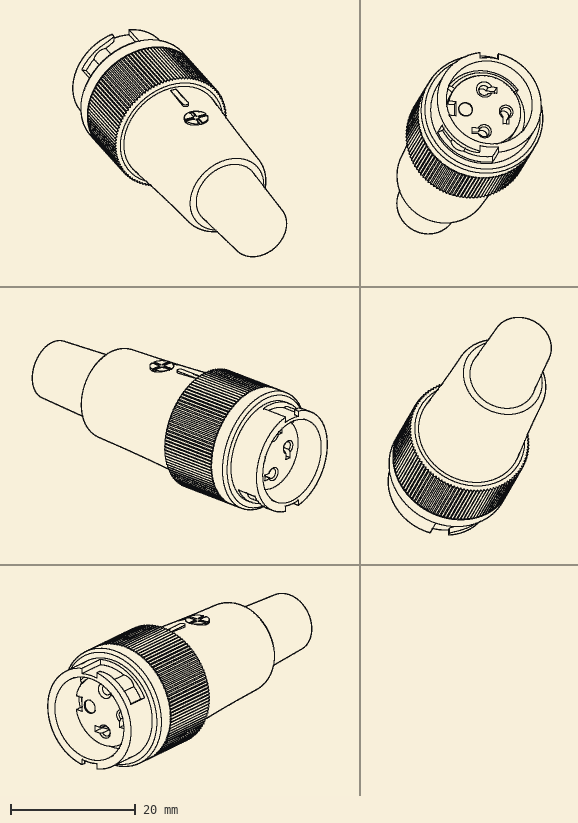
import cadquery as cq
import math

LENGTH = 52.0

BARREL_R = 17.0 / 2
BORE_R = 7.0
BORE_DEPTH = 6.25

COLLAR_START = 5.5
COLLAR_R = 19.9 / 2
COLLAR_CHAMFER = 0.5
KNURL_START = 8.5
KNURL_TEETH = 110
KNURL_DEPTH = 0.25
COLLAR_END = 19.0
COLLAR_END_ROUND_X = 0.45
COLLAR_END_ROUND_R = 0.85

BOOT_TAPER_START = 19.6
BOOT_SHOULDER_X = 38.0
BOOT_SHOULDER_R = 7.55
BOOT_WAIST_SAG = 0.1
TAIL_START = 39.5
SHOULDER_EDGE_R = 6.55
SHOULDER_BULGE = 0.15
TAIL_ROOT_R = 5.45
TAIL_TIP_R = 4.9
TAIL_TIP_ROUND = 0.6

TRACK_FLOOR_R = 7.6
TRACK_END_X = 4.8
TRACK_HALF_WIDTH = 1.5
TRACK_SWEEP = 62.0
LIP_NOSE_X = 0.8
LIP_X = 1.3
LIP_RAMP_Y = -3.3
LIP_RAMP_BULGE = 0.1
DETENT_ANGLE = 35.0
DETENT_HALF_CHORD = 1.275
DETENT_HEIGHT = 0.45

INSERT_R = 5.95
INSERT_FACE_X = 4.0
RIDGE_FACE_X = 4.35
RIDGE_CHAMFER = 0.5
RIDGE_HALF_ANGLE = 54.0
KEYWAY_FLOOR_Y = 4.65
KEYWAY_WIDTH = 2.4
KEYWAY_DEPTH = 1.55
CONTACT_CIRCLE_R = 3.55
CONTACT_R = 0.85
CONTACT_MOUTH_R = 2.25 / 2
TOP_CONTACT_MOUTH_R = 1.3
CONTACT_DEPTH = 2.1
CONTACT_SLOT_WIDTH = 1.0
CONTACT_SLOT_REACH = 2.05
DIMPLE_Y = 3.05
DIMPLE_R = 2.25 / 2
DIMPLE_DEPTH = 0.25

MARKER_ROOT_Z = 7.3
RIB_WIDTH = 1.0
RIB_END_X = 24.6
DISC_X = 28.1
DISC_R = 1.9
DISC_TOP_Z = 8.05
CROSS_WIDTH = 0.5
CROSS_DEPTH = 0.2
HUB_R = 1.0 / 2

CUT_OVERRUN = 0.5


def revolve_profile(profile):
    """Revolve a closed XY profile about the X axis."""
    return profile.close().revolve(360, (0, 0, 0), (1, 0, 0))


def tube(x_start, x_end, outer_r, inner_r):
    """Ring about the X axis."""
    ring = cq.Workplane("YZ").workplane(offset=x_start).circle(outer_r).circle(inner_r)
    return ring.extrude(x_end - x_start)


def disc(x_start, x_end, radius, y=0.0, z=0.0):
    """Cylinder running along X, centred at (y, z)."""
    return cq.Workplane("YZ").workplane(offset=x_start).center(y, z).circle(radius).extrude(x_end - x_start)


def from_top(radius, degrees):
    """YZ point at an angle from +Z, positive towards -Y."""
    angle = math.radians(degrees)
    return (-radius * math.sin(angle), radius * math.cos(angle))


def sector(x_start, x_end, start_deg, end_deg):
    """Wedge about the X axis, large enough to reach outside the barrel."""
    reach = 2 * BARREL_R
    wedge = (
        cq.Workplane("YZ").workplane(offset=x_start).moveTo(0, 0)
        .lineTo(*from_top(reach, start_deg))
        .threePointArc(from_top(reach, (start_deg + end_deg) / 2), from_top(reach, end_deg))
    )
    return wedge.close().extrude(x_end - x_start)


def make_barrel():
    """Barrel whose solid rear part also fills the collar."""
    barrel = disc(0, COLLAR_END, BARREL_R)
    return barrel.cut(disc(0, BORE_DEPTH, BORE_R))


def make_bayonet_track():
    """L-shaped track: open at the mating face, then turning towards -Y behind a lip."""
    side = -2 * BARREL_R
    ramp_middle = ((LIP_NOSE_X + LIP_X) / 2 + LIP_RAMP_BULGE, (LIP_RAMP_Y - TRACK_HALF_WIDTH) / 2)
    plan = (
        cq.Workplane("XY").moveTo(0, TRACK_HALF_WIDTH)
        .lineTo(TRACK_END_X, TRACK_HALF_WIDTH)
        .lineTo(TRACK_END_X, side)
        .lineTo(LIP_X, side)
        .lineTo(LIP_X, LIP_RAMP_Y)
        .threePointArc(ramp_middle, (LIP_NOSE_X, -TRACK_HALF_WIDTH))
        .lineTo(0, -TRACK_HALF_WIDTH)
        .close().extrude(2 * BARREL_R)
    )
    rim = tube(0, TRACK_END_X, BARREL_R + CUT_OVERRUN, TRACK_FLOOR_R)
    track = plan.intersect(rim).intersect(sector(0, TRACK_END_X, -TRACK_SWEEP, TRACK_SWEEP))

    chord_r = math.sqrt(TRACK_FLOOR_R ** 2 - DETENT_HALF_CHORD ** 2)
    detent_r = (DETENT_HALF_CHORD ** 2 + DETENT_HEIGHT ** 2) / (2 * DETENT_HEIGHT)
    detent_y, detent_z = from_top(chord_r + DETENT_HEIGHT - detent_r, DETENT_ANGLE)
    return track.cut(disc(LIP_X, TRACK_END_X, detent_r, detent_y, detent_z))


def make_collar():
    """Sleeve with a smooth front band and a V-toothed knurl."""
    tooth_angle = 360 / KNURL_TEETH
    blank = revolve_profile(
        cq.Workplane("XY").moveTo(COLLAR_START, 0)
        .lineTo(COLLAR_START, COLLAR_R - COLLAR_CHAMFER)
        .lineTo(COLLAR_START + COLLAR_CHAMFER, COLLAR_R)
        .lineTo(COLLAR_END - COLLAR_END_ROUND_X, COLLAR_R)
        .lineTo(COLLAR_END, COLLAR_R - COLLAR_END_ROUND_R)
        .lineTo(COLLAR_END, 0)
    )
    teeth = []
    for i in range(KNURL_TEETH):
        teeth.append(from_top(COLLAR_R, i * tooth_angle))
        teeth.append(from_top(COLLAR_R - KNURL_DEPTH, (i + 0.5) * tooth_angle))
    knurl = (
        cq.Workplane("YZ").workplane(offset=KNURL_START)
        .polyline(teeth).close().extrude(COLLAR_END - KNURL_START)
    )
    smooth_band = disc(COLLAR_START, KNURL_START, COLLAR_R)
    sleeve_hole = disc(COLLAR_START, COLLAR_END, BARREL_R)
    return blank.intersect(smooth_band.union(knurl)).cut(sleeve_hole)


def make_boot():
    flank_middle = (
        (BOOT_TAPER_START + BOOT_SHOULDER_X) / 2,
        (BARREL_R + BOOT_SHOULDER_R) / 2 - BOOT_WAIST_SAG,
    )
    shoulder_middle = (
        (BOOT_SHOULDER_X + TAIL_START) / 2 + SHOULDER_BULGE,
        (BOOT_SHOULDER_R + SHOULDER_EDGE_R) / 2 + SHOULDER_BULGE,
    )
    tip_inset = TAIL_TIP_ROUND * (1 - math.sqrt(0.5))
    tip_middle = (LENGTH - tip_inset, TAIL_TIP_R - tip_inset)
    return revolve_profile(
        cq.Workplane("XY").moveTo(COLLAR_END, 0)
        .lineTo(COLLAR_END, BARREL_R)
        .lineTo(BOOT_TAPER_START, BARREL_R)
        .threePointArc(flank_middle, (BOOT_SHOULDER_X, BOOT_SHOULDER_R))
        .threePointArc(shoulder_middle, (TAIL_START, SHOULDER_EDGE_R))
        .lineTo(TAIL_START, TAIL_ROOT_R)
        .lineTo(LENGTH - TAIL_TIP_ROUND, TAIL_TIP_R)
        .threePointArc(tip_middle, (LENGTH, TAIL_TIP_R - TAIL_TIP_ROUND))
        .lineTo(LENGTH, 0)
    )


def make_rib():
    half = RIB_WIDTH / 2
    return (
        cq.Workplane("XY").workplane(offset=MARKER_ROOT_Z)
        .moveTo(BOOT_TAPER_START, half)
        .lineTo(RIB_END_X - half, half)
        .threePointArc((RIB_END_X, 0), (RIB_END_X - half, -half))
        .lineTo(BOOT_TAPER_START, -half)
        .close().extrude(BARREL_R - MARKER_ROOT_Z)
    )


def make_marker_disc():
    return (
        cq.Workplane("XY").workplane(offset=MARKER_ROOT_Z).center(DISC_X, 0)
        .circle(DISC_R).extrude(DISC_TOP_Z - MARKER_ROOT_Z)
    )


def make_marker_cross():
    """Cross of shallow grooves that leaves a round hub standing."""
    plane = cq.Workplane("XY").workplane(offset=DISC_TOP_Z - CROSS_DEPTH).center(DISC_X, 0)
    bars = plane.rect(2 * DISC_R, CROSS_WIDTH).extrude(CUT_OVERRUN)
    bars = bars.union(plane.rect(CROSS_WIDTH, 2 * DISC_R).extrude(CUT_OVERRUN))
    return bars.cut(plane.circle(HUB_R).extrude(CUT_OVERRUN))


def make_contact(mouth_r, turn):
    """Countersunk keyhole socket at the top of the contact circle, turned about X."""
    countersink = mouth_r - CONTACT_R
    cone = revolve_profile(
        cq.Workplane("XY").moveTo(INSERT_FACE_X, 0)
        .lineTo(INSERT_FACE_X, mouth_r)
        .lineTo(INSERT_FACE_X + countersink, CONTACT_R)
        .lineTo(INSERT_FACE_X + CONTACT_DEPTH, CONTACT_R)
        .lineTo(INSERT_FACE_X + CONTACT_DEPTH, 0)
    )
    slot = (
        cq.Workplane("YZ").workplane(offset=INSERT_FACE_X)
        .center(-CONTACT_SLOT_REACH / 2, 0)
        .rect(CONTACT_SLOT_REACH, CONTACT_SLOT_WIDTH).extrude(CONTACT_DEPTH)
    )
    return cone.union(slot).translate((0, 0, CONTACT_CIRCLE_R)).rotate((0, 0, 0), (1, 0, 0), turn)


def make_insert():
    insert = disc(INSERT_FACE_X, BORE_DEPTH, INSERT_R)

    ridge_cone = revolve_profile(
        cq.Workplane("XY").moveTo(RIDGE_FACE_X, INSERT_R)
        .lineTo(RIDGE_FACE_X, BORE_R - RIDGE_CHAMFER)
        .lineTo(RIDGE_FACE_X + RIDGE_CHAMFER, BORE_R)
        .lineTo(BORE_DEPTH, BORE_R)
        .lineTo(BORE_DEPTH, INSERT_R)
    )
    ridge = ridge_cone.intersect(sector(RIDGE_FACE_X, BORE_DEPTH, -RIDGE_HALF_ANGLE, RIDGE_HALF_ANGLE))

    keyway_reach = INSERT_R + CUT_OVERRUN - KEYWAY_FLOOR_Y
    keyway = (
        cq.Workplane("YZ").workplane(offset=INSERT_FACE_X)
        .center(KEYWAY_FLOOR_Y + keyway_reach / 2, 0)
        .rect(keyway_reach, KEYWAY_WIDTH).extrude(KEYWAY_DEPTH)
    )
    dimple = disc(INSERT_FACE_X, INSERT_FACE_X + DIMPLE_DEPTH, DIMPLE_R, DIMPLE_Y)
    return insert.union(ridge).cut(keyway).cut(dimple)


track = make_bayonet_track()
barrel = make_barrel().cut(track).cut(track.rotate((0, 0, 0), (1, 0, 0), 180))
boot = make_boot().union(make_rib()).union(make_marker_disc()).cut(make_marker_cross())

result = barrel.union(make_insert()).union(make_collar()).union(boot)
for mouth_r, turn in ((TOP_CONTACT_MOUTH_R, 0), (CONTACT_MOUTH_R, 90), (CONTACT_MOUTH_R, 180)):
    result = result.cut(make_contact(mouth_r, turn))